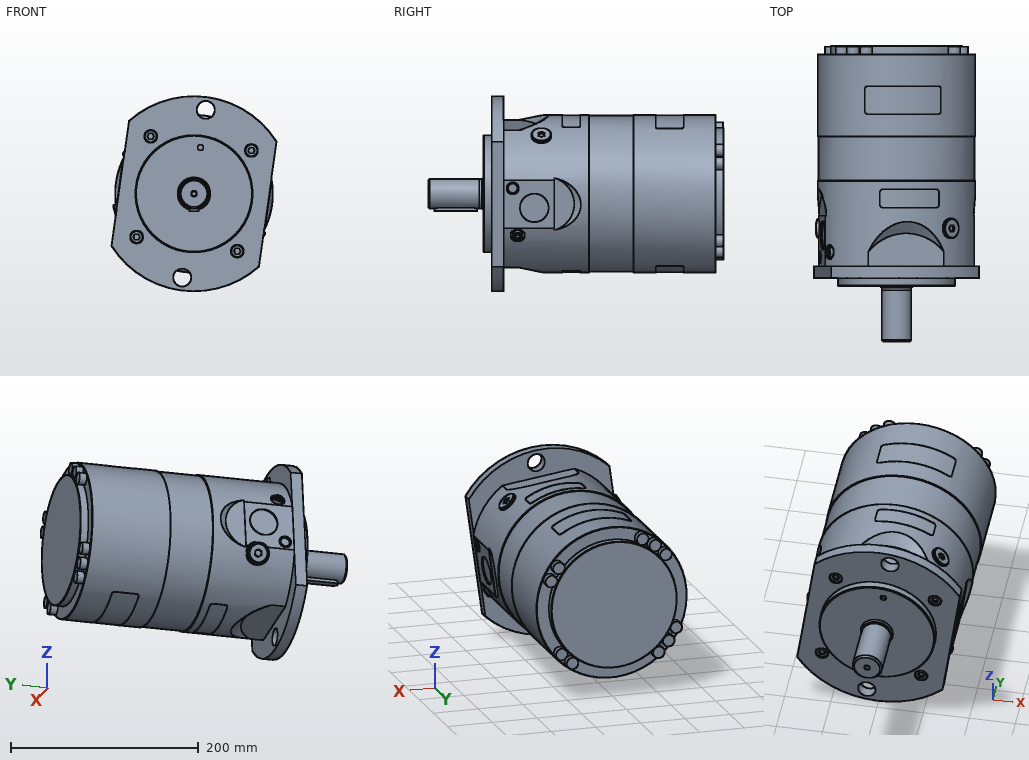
import cadquery as cq
import math

tilt = 8.0
half_turn = 180.0

shaft_tip_y = -67.8
pilot_y = -8.8
flange_back_y = 12.5
front_seam_y = 104.0
rear_seam_y = 150.8
body_back_y = 238.8
screw_top_y = 246.5
cover_back_y = shaft_tip_y + 315.5

body_radius = 168.5 / 2
middle_radius = 167.0 / 2
seam_chamfer = 0.5

flange_radius = 104.0
flange_half_width = 79.5
pilot_radius = 125.2 / 2
pilot_chamfer = 1.0
mount_hole_diameter = 19.0
mount_hole_circle = 90.2
flange_screw_circle = 76.5
counterbore_diameter = 14.0
counterbore_depth = 4.7
flange_head_diameter = 12.3
flange_head_height = 3.8
hex_size = 7.3
hex_depth = 2.5
vent_diameter = 6.3
vent_circle = 49.8
vent_depth = 3.0

shaft_radius = 32.0 / 2
shaft_neck_radius = 31.5 / 2
shaft_neck_y = -13.2
collar_radius = 35.0 / 2
collar_length = 1.5
shaft_chamfer = 2.0
centre_mouth_diameter = 6.3
centre_bore_diameter = 5.0
centre_depth = 4.7
key_width = 10.0
key_start_y = -15.0
key_length = 46.0
key_top = 18.5
key_height = 6.3

cover_radius = 70.3
cover_chamfer = 0.5
cover_screw_circle = 77.0
cover_head_diameter = 13.0
cover_screw_step = 12.2

bolt_pad_height = 73.8
bolt_pad_radius = 52.0
bolt_pad_centre_y = -4.5
bolt_pad_flare = 1.2

port_face_height = 80.0
port_face_end_y = 66.5
relief_height = 79.5
relief_radius = 29.3
relief_centre_y = 58.7
relief_flare = 1.5
port_diameter = 30.5
port_y = 45.5
port_offset = 4.0
port_depth = 1.5
drain_diameter = 13.0
drain_bore_diameter = 10.0
drain_y = 22.5
drain_offset = -17.0
drain_step = 0.5

side_plug_angle = 195.0
upper_plug_angle = 47.0
plug_y = 53.0
plug_diameter = 21.5
plug_chamfer = 1.0
plug_top = 86.7
side_plug_seat_diameter = 25.2
plug_seat_height = 82.0
plug_hex = 8.2
valve_angle = 148.0
valve_y = 27.8
valve_diameter = 10.0
valve_seat_diameter = 15.0
valve_seat_height = 81.7
valve_top = 87.0
valve_chamfer = 0.5
valve_hex = 6.3

large_plate = (174.7, 30.0, 57.8, 84.7)
small_plate = (75.0, 19.5, 44.7, 79.8)
plate_depth = 0.3
plate_corner = 3.0

outside = body_radius + 9.5


def disc(radius, y_from, y_to, x=0.0, z=0.0):
    """Cylinder parallel to the motor axis between two stations."""
    cylinder = cq.Solid.makeCylinder(radius, y_to - y_from, cq.Vector(x, y_from, z), cq.Vector(0, 1, 0))
    return cq.Workplane(cylinder)


def around(radius, angle):
    """X and Z of a point on a circle about the motor axis."""
    a = math.radians(angle)
    return radius * math.cos(a), radius * math.sin(a)


def turned(part, angle):
    """Turn a part built facing +Z so that it faces the given angle."""
    return part.rotate((0, 0, 0), (0, 1, 0), 90.0 - angle)


def radial_pin(diameter, y, bottom, top, x=0.0):
    """Upright cylinder between two heights from the axis."""
    return cq.Workplane("XY", origin=(x, y, bottom)).circle(diameter / 2).extrude(top - bottom)


def radial_hex(size, y, top):
    """Hexagonal socket sunk from a height."""
    return cq.Workplane("XY", origin=(0, y, top - hex_depth)).polygon(6, size).extrude(hex_depth)


def flared_cut(radius, y, height, flare):
    """Upward-widening cone that leaves a flat at a height above the axis."""
    rise = outside - height
    cone = cq.Solid.makeCone(radius, radius + flare * rise, rise, cq.Vector(0, y, height))
    return cq.Workplane(cone)


def behind(y):
    """Block holding everything behind a station."""
    size = 4 * outside
    return cq.Workplane("XY").box(size, size, size).translate((0, y + size / 2, 0))


def make_body():
    front = disc(body_radius, flange_back_y, front_seam_y).faces(">Y").chamfer(seam_chamfer)
    middle = disc(middle_radius, front_seam_y, rear_seam_y)
    rear = disc(body_radius, rear_seam_y, body_back_y).faces("<Y or >Y").chamfer(seam_chamfer)
    return front.union(middle).union(rear)


def make_flange():
    blank = disc(flange_radius, 0, flange_back_y)
    slab = cq.Workplane("XY").box(2 * flange_half_width, 2 * flange_back_y, 2 * flange_radius)
    flange = blank.intersect(turned(slab, 90 - tilt))
    for side in (0, half_turn):
        x, z = around(mount_hole_circle, 90 - tilt + side)
        flange = flange.cut(disc(mount_hole_diameter / 2, 0, flange_back_y, x, z))
    for quarter in range(4):
        x, z = around(flange_screw_circle, 45 - tilt + 90 * quarter)
        head_y = counterbore_depth - flange_head_height
        flange = flange.cut(disc(counterbore_diameter / 2, 0, counterbore_depth, x, z))
        head = disc(flange_head_diameter / 2, head_y, counterbore_depth, x, z)
        socket = cq.Workplane("XZ", origin=(x, head_y, z)).polygon(6, hex_size).extrude(-hex_depth)
        flange = flange.union(head.cut(socket))
    return flange


def make_pilot():
    pilot = disc(pilot_radius, pilot_y, 0).faces("<Y").chamfer(pilot_chamfer)
    x, z = around(vent_circle, 90 - tilt)
    return pilot.cut(disc(vent_diameter / 2, pilot_y, pilot_y + vent_depth, x, z))


def make_shaft():
    collar_end = pilot_y - collar_length
    outline = [
        (0, pilot_y),
        (collar_radius, pilot_y),
        (shaft_neck_radius, collar_end),
        (shaft_neck_radius, shaft_neck_y),
        (shaft_radius, shaft_neck_y),
        (shaft_radius, shaft_tip_y + shaft_chamfer),
        (shaft_radius - shaft_chamfer, shaft_tip_y),
        (0, shaft_tip_y),
    ]
    shaft = cq.Workplane("XY").polyline(outline).close().revolve(360, (0, 0, 0), (0, 1, 0))
    mouth_depth = (centre_mouth_diameter - centre_bore_diameter) / 2
    centre = disc(centre_bore_diameter / 2, shaft_tip_y, shaft_tip_y + centre_depth)
    mouth = cq.Solid.makeCone(
        centre_mouth_diameter / 2,
        centre_bore_diameter / 2,
        mouth_depth,
        cq.Vector(0, shaft_tip_y, 0),
        cq.Vector(0, 1, 0),
    )
    key = (
        cq.Workplane("XY", origin=(0, key_start_y - key_length / 2, -key_top))
        .slot2D(key_length, key_width, 90)
        .extrude(key_height)
    )
    return shaft.cut(centre).cut(cq.Workplane(mouth)).union(key)


def make_cover():
    cover = disc(cover_radius, body_back_y, cover_back_y).faces(">Y").chamfer(cover_chamfer)
    groups = {
        45: (-1, 0),
        135: (-1, 0, 1),
        225: (-1, 0, 1),
        315: (0, 1),
    }
    for middle, steps in groups.items():
        for step in steps:
            x, z = around(cover_screw_circle, middle - tilt + step * cover_screw_step)
            cover = cover.union(disc(cover_head_diameter / 2, body_back_y, screw_top_y, x, z))
    return cover


def bolt_pad_cut():
    cut = flared_cut(bolt_pad_radius, bolt_pad_centre_y, bolt_pad_height, bolt_pad_flare)
    return cut.intersect(behind(flange_back_y))


def port_cut():
    face_length = port_face_end_y - flange_back_y
    face = (
        cq.Workplane("XY", origin=(0, flange_back_y + face_length / 2, port_face_height))
        .rect(2 * body_radius, face_length)
        .extrude(outside - port_face_height)
    )
    relief = flared_cut(relief_radius, relief_centre_y, relief_height, relief_flare)
    relief = relief.intersect(behind(port_face_end_y))
    drain_floor = port_face_height - drain_step
    port = radial_pin(port_diameter, port_y, port_face_height - port_depth, outside, port_offset)
    drain = radial_pin(drain_diameter, drain_y, drain_floor, outside, drain_offset)
    drain_bore = radial_pin(drain_bore_diameter, drain_y, drain_floor - drain_step, outside, drain_offset)
    return face.union(relief).union(port).union(drain).union(drain_bore)


def plate_cut(start_y, length, sweep, middle_angle):
    """Shallow rounded recess wrapped on the body."""
    width = 2 * body_radius * math.sin(math.radians(sweep / 2))
    prism = (
        cq.Workplane("XY", origin=(0, start_y + length / 2, 0))
        .rect(width, length)
        .extrude(outside)
        .edges("|Z")
        .fillet(plate_corner)
    )
    core = disc(body_radius - plate_depth, start_y, start_y + length)
    return turned(prism.cut(core), middle_angle)


def hex_head(diameter, y, seat_height, top, chamfer, hex_width):
    """Round head with a hexagonal socket, standing on its seat."""
    head = radial_pin(diameter, y, seat_height, top).faces(">Z").chamfer(chamfer)
    return head.cut(radial_hex(hex_width, y, top))


def add_valve(part, angle):
    seat = radial_pin(valve_seat_diameter, valve_y, valve_seat_height, outside)
    head = hex_head(valve_diameter, valve_y, valve_seat_height, valve_top, valve_chamfer, valve_hex)
    return part.cut(turned(seat, angle)).union(turned(head, angle))


def add_plug(part, angle, seat_diameter):
    seat = radial_pin(seat_diameter, plug_y, plug_seat_height, outside)
    head = hex_head(plug_diameter, plug_y, plug_seat_height, plug_top, plug_chamfer, plug_hex)
    return part.cut(turned(seat, angle)).union(turned(head, angle))


result = make_body()
for side in (0, half_turn):
    result = result.cut(turned(bolt_pad_cut(), 90 - tilt + side))
    result = result.cut(turned(port_cut(), half_turn - tilt + side))
    for plate_y, plate_length, plate_sweep, plate_angle in (large_plate, small_plate):
        result = result.cut(plate_cut(plate_y, plate_length, plate_sweep, plate_angle + side))
    result = add_valve(result, valve_angle + side)
result = add_plug(result, side_plug_angle, side_plug_seat_diameter)
result = add_plug(result, upper_plug_angle, plug_diameter)
for component in (make_flange(), make_pilot(), make_shaft(), make_cover()):
    result = result.union(component)